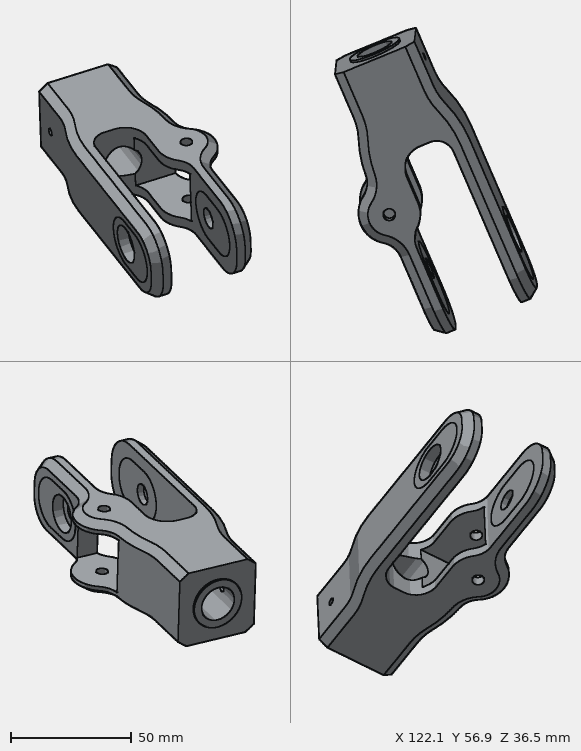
import cadquery as cq
import math


fork_length = 121.0
fork_height = 34.9
socket_half_width = 18.0
arm_outer = 23.0
arm_inner = 15.0
arm_thickness = arm_outer - arm_inner
nose_radius = 15.0

bevel_on_face = 4.0
bevel_on_side = 3.0

flank_start = 20.0
flank_inner_radius = 25.0
flank_outer_radius = 2 * flank_inner_radius

ear_x = 63.0
ear_y = 20.0
ear_radius = 13.0
ear_blend_radius = 10.0
ear_hole_diameter = 5.0
ear_plate_thickness = 5.0
ear_window_start = 44.6
ear_window_end = 77.4

opening_start = 41.3
opening_upper_y = ear_y - ear_radius
opening_upper_radius = 10.0
opening_lower_radius = 7.6
opening_blend_radius = 10.0

bore_diameter = 15.4
rim_diameter = 22.3
rim_height = 0.94
screw_x = 10.0
screw_diameter = 3.0

pad_length = 32.7
pad_width = 22.5
pad_center_x = 97.8
axle_x = 93.5
axle_hole_diameter = 8.9
counterbore_diameter = 16.4
counterbore_depth = 5.0

tilt_x = 1.6
tilt_y = -0.38
tilt_z = -0.18


def circle_meeting(center_a, radius_a, center_b, radius_b):
    """Upper point where two circles cross, with a to the left of b."""
    dx = center_b[0] - center_a[0]
    dy = center_b[1] - center_a[1]
    gap = math.hypot(dx, dy)
    along = (gap**2 + radius_a**2 - radius_b**2) / (2 * gap)
    across = math.sqrt(radius_a**2 - along**2)
    return (
        center_a[0] + (along * dx - across * dy) / gap,
        center_a[1] + (along * dy + across * dx) / gap,
    )


def point_toward(start, target, distance):
    """Point at a distance from start on the line to target."""
    gap = math.dist(start, target)
    return (
        start[0] + (target[0] - start[0]) * distance / gap,
        start[1] + (target[1] - start[1]) * distance / gap,
    )


def arc_middle(center, radius, start, end):
    """Middle of the shorter arc between two points of a circle."""
    chord_middle = ((start[0] + end[0]) / 2, (start[1] + end[1]) / 2)
    return point_toward(center, chord_middle, radius)


def draw_arc(outline, center, radius, start, end):
    return outline.threePointArc(arc_middle(center, radius, start, end), end)


def mirrored(point):
    return (point[0], -point[1])


def outer_profile():
    """Solid of the outer plan outline over the full height."""
    radius_sum = flank_inner_radius + flank_outer_radius
    flank_rise = arm_outer - socket_half_width
    flank_run = math.sqrt(radius_sum**2 - (radius_sum - flank_rise) ** 2)
    flank_end = flank_start + flank_run

    flank_low = (flank_start, socket_half_width)
    flank_high = (flank_end, arm_outer)
    low_center = (flank_start, socket_half_width + flank_inner_radius)
    high_center = (flank_end, arm_outer - flank_outer_radius)
    flank_middle = point_toward(low_center, high_center, flank_inner_radius)

    ear = (ear_x, ear_y)
    blend_reach = ear_radius + ear_blend_radius
    left_center = circle_meeting(high_center, flank_outer_radius + ear_blend_radius, ear, blend_reach)
    left_low = point_toward(left_center, high_center, ear_blend_radius)
    left_high = point_toward(left_center, ear, ear_blend_radius)
    right_y = arm_outer + ear_blend_radius
    right_x = ear_x + math.sqrt(blend_reach**2 - (right_y - ear_y) ** 2)
    right_center = (right_x, right_y)
    right_high = point_toward(right_center, ear, ear_blend_radius)
    right_low = (right_x, arm_outer)

    outline = cq.Workplane("XY").moveTo(0, -socket_half_width).lineTo(0, socket_half_width)
    outline = outline.lineTo(*flank_low)
    outline = draw_arc(outline, low_center, flank_inner_radius, flank_low, flank_middle)
    outline = draw_arc(outline, high_center, flank_outer_radius, flank_middle, left_low)
    outline = draw_arc(outline, left_center, ear_blend_radius, left_low, left_high)
    outline = draw_arc(outline, ear, ear_radius, left_high, right_high)
    outline = draw_arc(outline, right_center, ear_blend_radius, right_high, right_low)
    outline = outline.lineTo(fork_length, arm_outer).lineTo(fork_length, -arm_outer)

    outline = outline.lineTo(*mirrored(flank_high))
    outline = draw_arc(
        outline, mirrored(high_center), flank_outer_radius, mirrored(flank_high), mirrored(flank_middle)
    )
    outline = draw_arc(
        outline, mirrored(low_center), flank_inner_radius, mirrored(flank_middle), mirrored(flank_low)
    )
    return outline.close().extrude(fork_height / 2, both=True)


def rounded_nose(body):
    return body.edges("|Y").edges(">X").fillet(nose_radius)


def bevel_outer_sides(body):
    """Bevel the whole rim of the +Y and -Y side walls, around the nose as well."""
    rim_starts = body.faces(">Z").edges("|X").edges("<X")
    return rim_starts.chamfer(bevel_on_face, bevel_on_side)


def arm_opening():
    """Cutter for the opening between the arms, with the stepped side by the ear."""
    ear = (ear_x, ear_y)
    blend_y = arm_inner - opening_blend_radius
    blend_reach = ear_radius + opening_blend_radius
    blend_x = ear_x + math.sqrt(blend_reach**2 - (ear_y - blend_y) ** 2)
    blend_center = (blend_x, blend_y)
    step_start = (ear_x, opening_upper_y)
    step_middle = point_toward(blend_center, ear, opening_blend_radius)
    step_end = (blend_x, arm_inner)
    cut_end = fork_length + arm_thickness

    outline = cq.Workplane("XY").moveTo(cut_end, -arm_inner).lineTo(opening_start, -arm_inner)
    outline = outline.lineTo(opening_start, opening_upper_y).lineTo(*step_start)
    outline = draw_arc(outline, ear, ear_radius, step_start, step_middle)
    outline = draw_arc(outline, blend_center, opening_blend_radius, step_middle, step_end)
    outline = outline.lineTo(cut_end, arm_inner).close()
    opening = outline.extrude(fork_height, both=True)
    opening = opening.edges("|Z").edges("<X").edges("<Y").fillet(opening_lower_radius)
    return opening.edges("|Z").edges("<X").edges(">Y").fillet(opening_upper_radius)


def ear_window():
    """Cutter that leaves the ear as two parallel plates."""
    window_length = ear_window_end - ear_window_start
    window_reach = arm_outer + 2 * ear_radius
    window_height = fork_height - 2 * ear_plate_thickness
    window = cq.Workplane("XY", origin=(ear_window_start, 0, 0))
    return window.box(window_length, window_reach, window_height, centered=(False, False, True))


def upright_cylinder(x, y, diameter):
    return cq.Workplane("XY").center(x, y).circle(diameter / 2).extrude(fork_height, both=True)


def pad_blank(side):
    """Obround through the full thickness of one arm; side is +1 or -1 along Y."""
    return (
        cq.Workplane("XZ", origin=(pad_center_x, side * arm_inner, 0))
        .slot2D(pad_length, pad_width)
        .extrude(-side * arm_thickness)
    )


def make_fork():
    fork = bevel_outer_sides(rounded_nose(outer_profile()))
    fork = fork.cut(arm_opening()).cut(ear_window())
    fork = fork.cut(upright_cylinder(ear_x, ear_y, ear_hole_diameter))

    rim = cq.Workplane("YZ").circle(rim_diameter / 2).extrude(-rim_height)
    bore = cq.Workplane("YZ", origin=(-rim_height, 0, 0)).circle(bore_diameter / 2)
    fork = fork.union(rim).cut(bore.extrude(rim_height + opening_start + opening_lower_radius))

    screw = cq.Workplane("XZ", origin=(screw_x, 0, 0)).circle(screw_diameter / 2)
    fork = fork.cut(screw.extrude(socket_half_width))

    for side in (1, -1):
        fork = fork.cut(pad_blank(side))
    return fork


def make_pad(side):
    """Pad with an axle hole and a counterbore on its outer face."""
    axle = cq.Workplane("XZ", origin=(axle_x, side * arm_inner, 0))
    axle_hole = axle.circle(axle_hole_diameter / 2).extrude(-side * arm_thickness)
    counterbore = (
        cq.Workplane("XZ", origin=(axle_x, side * arm_outer, 0))
        .circle(counterbore_diameter / 2)
        .extrude(side * counterbore_depth)
    )
    return pad_blank(side).cut(axle_hole).cut(counterbore)


def tilted(body):
    origin = (0, 0, 0)
    body = body.rotate(origin, (1, 0, 0), tilt_x)
    body = body.rotate(origin, (0, 1, 0), tilt_y)
    return body.rotate(origin, (0, 0, 1), tilt_z)


fork = tilted(make_fork())
pads = [tilted(make_pad(side)) for side in (1, -1)]

result = cq.Compound.makeCompound([fork.val(), *[pad.val() for pad in pads]])